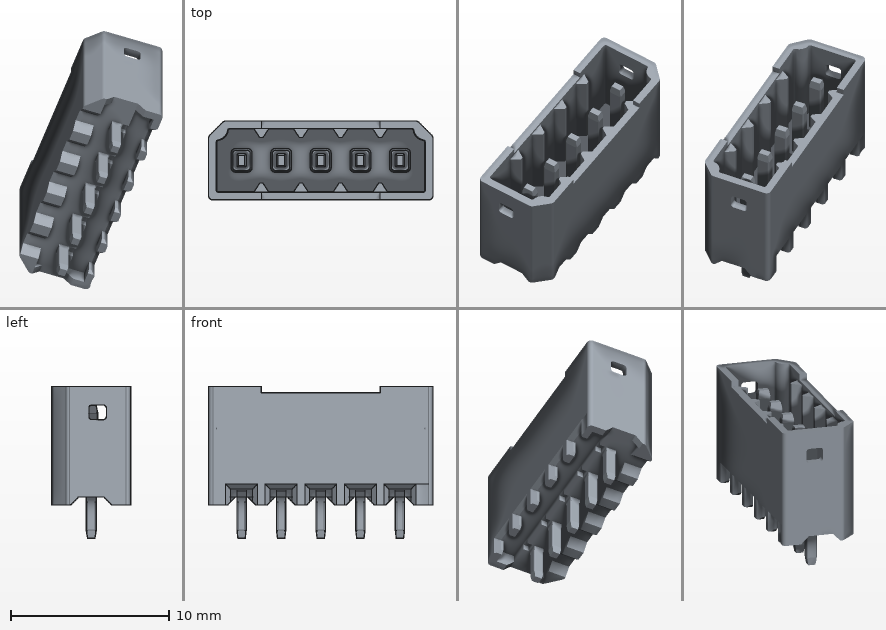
import cadquery as cq

pin_count = 5
pitch = 2.5
pin_xs = [(i - (pin_count - 1) / 2) * pitch for i in range(pin_count)]

body_length = 14.2
body_width = 5.0
body_height = 7.5
body_chamfer = 1.0
edge_radius = 0.3
end_wall = 0.5
side_wall = 0.485
end_x = body_length / 2
side_y = body_width / 2

floor_z = 1.8
cavity_length = body_length - 2 * end_wall
cavity_width = body_width - 2 * side_wall
cavity_depth = body_height - floor_z
cavity_draft = 0.4
cavity_edge_radius = 0.14
corner_post_radius = 0.73

rim_notch_length = (pin_count - 2) * pitch
rim_notch_depth = 0.4

rib_xs = [(a + b) / 2 for a, b in zip(pin_xs, pin_xs[1:])]
rib_base = 0.96
rib_tip = 0.2
rib_reach = 0.58
rib_top_z = 6.95

collar_length = 1.33
collar_width = 1.51
collar_height = 0.6
collar_edge_radius = 0.3
collar_slope = 12

window_width = 1.1
window_height = 0.92
window_y = -0.4
window_z = 5.86
window_radius = 0.2

channel_height = 0.5
row_channel_width = 1.6
cross_channel_width = 0.79

pocket_mouth_width = 2.02
pocket_mouth_top = 1.33
pocket_flare = 0.31
pocket_back_width = pocket_mouth_width - 2 * pocket_flare
pocket_back_top = pocket_mouth_top - pocket_flare

recess_length = body_length - 2 * end_wall
recess_front_y = side_wall - side_y
recess_back_y = row_channel_width / 2 + channel_height
recess_step_y = -row_channel_width / 2

slot_top_z = 0.9

mark_radius = 1.5

pin_length_x = 0.6
head_width = 0.84
tail_width = 0.66
pin_edge_radius = 0.1
head_taper_z = 5.79
head_top_z = 6.3
head_tip = (0.4, 0.63)
tail_round_z = 0.21
tail_taper_z = -1.58
tail_end_z = -2.1
tail_tip = (0.47, 0.46)


def shell():
    body = cq.Workplane("XY").box(body_length, body_width, body_height, centered=(True, True, False))
    body = body.edges("|Z and >Y").chamfer(body_chamfer)
    return body.edges("|Z").fillet(edge_radius)


def cavity():
    corners = [(x * cavity_length / 2, cavity_width / 2) for x in (-1, 1)]
    outline = (
        cq.Sketch()
        .rect(cavity_length, cavity_width)
        .push(corners)
        .circle(corner_post_radius, mode="s")
        .reset()
        .vertices()
        .fillet(cavity_edge_radius)
    )
    return (
        cq.Workplane("XY", origin=(0, 0, body_height))
        .placeSketch(outline)
        .extrude(-cavity_depth, taper=cavity_draft)
    )


def rim_notch():
    return cq.Workplane("XY", origin=(0, 0, body_height)).box(
        rim_notch_length, body_width, 2 * rim_notch_depth
    )


def rib(x, side):
    root_y = side * (side_y - side_wall / 2)
    foot_y = side * cavity_width / 2
    tip_y = foot_y - side * rib_reach
    outline = [
        (x - rib_base / 2, foot_y),
        (x - rib_tip / 2, tip_y),
        (x + rib_tip / 2, tip_y),
        (x + rib_base / 2, foot_y),
        (x + rib_base / 2, root_y),
        (x - rib_base / 2, root_y),
    ]
    return (
        cq.Workplane("XY", origin=(0, 0, floor_z)).polyline(outline).close().extrude(rib_top_z - floor_z)
    )


def collar(x):
    return (
        cq.Workplane("XY", origin=(x, 0, floor_z))
        .sketch()
        .rect(collar_length, collar_width)
        .vertices()
        .fillet(collar_edge_radius)
        .finalize()
        .extrude(collar_height, taper=collar_slope)
    )


def windows():
    return (
        cq.Workplane("YZ", origin=(-end_x, window_y, window_z))
        .sketch()
        .rect(window_width, window_height)
        .vertices()
        .fillet(window_radius)
        .finalize()
        .extrude(body_length)
    )


def trapezoid(plane, center, ceiling_width, depth):
    """Channel with 45-degree sides, open at the underside and centred on the given point."""
    half = ceiling_width / 2
    foot = half + channel_height
    outline = [(-foot, 0), (-half, channel_height), (half, channel_height), (foot, 0)]
    return cq.Workplane(plane, origin=center).polyline(outline).close().extrude(depth / 2, both=True)


def recess_box(back_y, height):
    return cq.Workplane("XY", origin=(0, recess_front_y, 0)).box(
        recess_length, back_y - recess_front_y, height, centered=(True, False, False)
    )


def pocket(x):
    flare = (
        cq.Workplane("XZ", origin=(x, -side_y, 0))
        .rect(pocket_mouth_width, 2 * pocket_mouth_top)
        .workplane(offset=-pocket_flare)
        .rect(pocket_back_width, 2 * pocket_back_top)
        .loft()
    )
    throat = cq.Workplane("XY", origin=(x, -side_y, 0)).box(
        pocket_back_width, side_wall, pocket_back_top, centered=(True, False, False)
    )
    return flare.union(throat)


def slot(x):
    return cq.Workplane("XY", origin=(x, recess_step_y, 0)).box(
        pin_length_x, -recess_step_y, slot_top_z, centered=(True, False, False)
    )


def end_mark():
    start_x = pin_xs[-1] + pocket_mouth_width / 2
    stop_x = end_x - edge_radius
    half = (stop_x - start_x) / 2
    center_y = -side_y - (mark_radius**2 - half**2) ** 0.5
    return cq.Workplane("XY", origin=(start_x + half, center_y, 0)).circle(mark_radius).extrude(
        pocket_mouth_top
    )


def bar(x, width, bottom, top):
    return cq.Workplane("XY", origin=(x, 0, bottom)).rect(pin_length_x, width).extrude(top - bottom)


def rounded_bar(x, width, bottom, top):
    return bar(x, width, bottom, top).edges("|Z").fillet(pin_edge_radius)


def taper(x, width, start_z, end_z, tip):
    return (
        cq.Workplane("XY", origin=(x, 0, start_z))
        .rect(pin_length_x, width)
        .workplane(offset=end_z - start_z)
        .rect(*tip)
        .loft()
    )


def pin(x):
    head = rounded_bar(x, head_width, floor_z, head_taper_z)
    head_end = taper(x, head_width, head_taper_z, head_top_z, head_tip)
    head_end = head_end.intersect(rounded_bar(x, head_width, head_taper_z, head_top_z))
    shank = bar(x, head_width, channel_height, floor_z)
    neck = bar(x, tail_width, tail_round_z, channel_height)
    tail = rounded_bar(x, tail_width, tail_taper_z, tail_round_z)
    tail_end = taper(x, tail_width, tail_taper_z, tail_end_z, tail_tip)
    tail_end = tail_end.intersect(rounded_bar(x, tail_width, tail_end_z, tail_taper_z))
    return head_end.union(head).union(shank).union(neck).union(tail).union(tail_end)


pins = [pin(x) for x in pin_xs]

housing = shell().cut(cavity()).cut(rim_notch()).cut(windows())
for rib_x in rib_xs:
    for rib_side in (-1, 1):
        housing = housing.union(rib(rib_x, rib_side))
housing = housing.cut(trapezoid("YZ", (0, 0, 0), row_channel_width, body_length))
housing = housing.cut(recess_box(recess_back_y, channel_height))
housing = housing.cut(recess_box(recess_step_y, pocket_back_top))
for pin_x in pin_xs:
    housing = housing.union(collar(pin_x))
    housing = housing.cut(trapezoid("XZ", (pin_x, 0, 0), cross_channel_width, body_width))
    housing = housing.cut(pocket(pin_x)).cut(slot(pin_x))
housing = housing.cut(end_mark())
for contact in pins:
    housing = housing.cut(contact)

result = cq.Compound.makeCompound([housing.val(), *[contact.val() for contact in pins]])